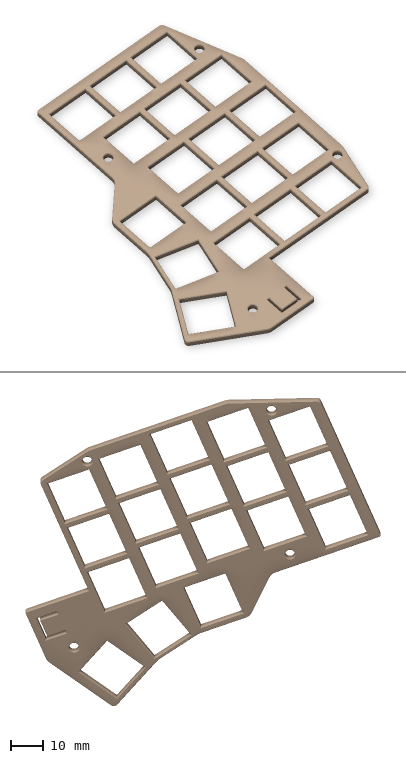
import cadquery as cq
import math

length = 113.0
depth = 88.2
thickness = 2.3
edge_chamfer = 0.25

left = -length / 2
right = length / 2
back = depth / 2

window_width = 14.0
window_depth = 15.0
first_column_x = -45.9
last_column_x = 26.3
row_span = 34.0
rows = 3
top_row_y = [25.9, 32.4, 34.8, 32.4, 30.0]
column_pitch = (last_column_x - first_column_x) / (len(top_row_y) - 1)
row_pitch = row_span / (rows - 1)
thumb_keys = [(0.5, -20.0, 0), (20.1, -23.4, -15), (38.7, -31.4, -30)]

hole_diameter = 3.0
hole_centres = [(-41.2, 36.5), (18.8, 40.5), (-27.8, -13.4), (46.9, -19.8)]

slot_left = 47.2
slot_right = 54.0
slot_back = -6.0
slot_front = -14.0
slot_width = 0.8

main_front = -17.8
main_right = 35.2
thumb_front = -29.5
thumb_back = -2.5
left_bend_x = -19.8
back_left_x = -29.3
back_right_x = 17.2
thumb_bend_x = 9.0
outer_bend_x = 24.2
right_bend_y = -21.2

slope_15 = math.tan(math.radians(15))
slope_20 = math.tan(math.radians(20))
slope_30 = math.tan(math.radians(30))
slope_60 = math.tan(math.radians(60))

outer_bend_y = thumb_front - (outer_bend_x - thumb_bend_x) * slope_15
tip_rise = outer_bend_y + outer_bend_x * slope_30 - right_bend_y + right * slope_60
tip_x = tip_rise / (slope_60 + slope_30)
tip_y = outer_bend_y - (tip_x - outer_bend_x) * slope_30

square_corner_radius = 0.7
tip_radius = 1.2
shoulder_radius = 1.4
bend_radius = 3.4
shallow_bend_radius = 5.6

outline = [
    (left, main_front, square_corner_radius),
    (left_bend_x, main_front, bend_radius),
    (left_bend_x + main_front - thumb_front, thumb_front, bend_radius),
    (thumb_bend_x, thumb_front, shallow_bend_radius),
    (outer_bend_x, outer_bend_y, shallow_bend_radius),
    (tip_x, tip_y, tip_radius),
    (right, right_bend_y, bend_radius),
    (right, thumb_back, square_corner_radius),
    (main_right, thumb_back, 0),
    (main_right, back - (main_right - back_right_x) * slope_15, shoulder_radius),
    (back_right_x, back, bend_radius),
    (back_left_x, back, bend_radius),
    (left, back - (back_left_x - left) * slope_20, shoulder_radius),
]


def make_plate():
    points = [(x, y) for x, y, radius in outline]
    body = cq.Workplane("XY").polyline(points).close().extrude(thickness)
    for x, y, radius in outline:
        if radius > 0:
            corner = cq.selectors.NearestToPointSelector((x, y, thickness / 2))
            body = body.edges("|Z").edges(corner).fillet(radius)
    return body


def window(x, y, angle=0):
    block = cq.Workplane("XY").rect(window_width, window_depth).extrude(thickness)
    return block.rotate((0, 0, 0), (0, 0, 1), angle).translate((x, y, 0))


def screw_holes():
    return cq.Workplane("XY").pushPoints(hole_centres).circle(hole_diameter / 2).extrude(thickness)


def u_slot():
    points = [
        (slot_left, slot_back),
        (slot_right, slot_back),
        (slot_right, slot_front),
        (slot_left, slot_front),
        (slot_left, slot_front + slot_width),
        (slot_right - slot_width, slot_front + slot_width),
        (slot_right - slot_width, slot_back - slot_width),
        (slot_left, slot_back - slot_width),
    ]
    return cq.Workplane("XY").polyline(points).close().extrude(thickness)


plate = make_plate()
for column, column_top in enumerate(top_row_y):
    for row in range(rows):
        plate = plate.cut(window(first_column_x + column * column_pitch, column_top - row * row_pitch))
for x, y, angle in thumb_keys:
    plate = plate.cut(window(x, y, angle))
plate = plate.cut(screw_holes())
plate = plate.cut(u_slot())

result = plate.faces("<Z or >Z").edges().chamfer(edge_chamfer)